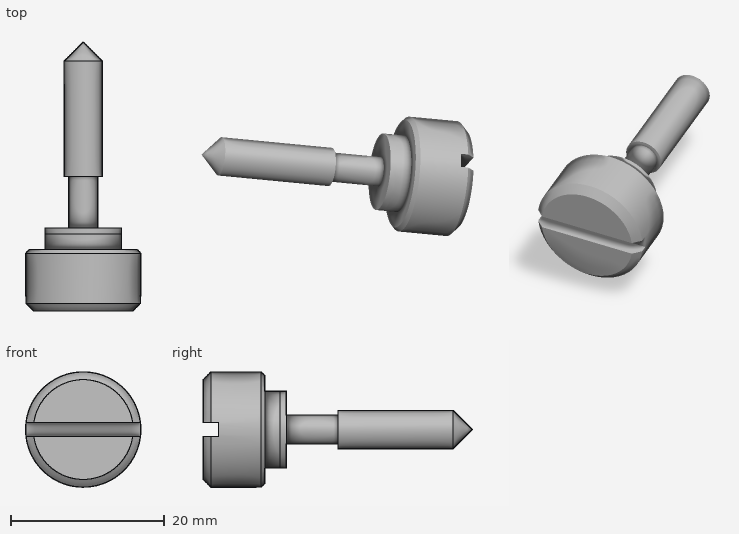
import cadquery as cq

total_length = 35.0
head_length = 8.0
collar_length = 2.0
washer_thickness = 0.8
shank_length = 15.0
point_length = 2.5

head_diameter = 15.0
collar_diameter = 10.0
shank_diameter = 5.0
neck_diameter = 3.8

front_chamfer = 1.0
back_chamfer = 0.5
slot_width = 1.8
slot_depth = 2.0

collar_end = head_length + collar_length
shank_start = total_length - point_length - shank_length
neck_length = shank_start - collar_end


def cylinder(diameter, start, length):
    """Cylinder about the Y axis, running from start toward +Y."""
    plane = cq.Workplane("XZ", origin=(0, start, 0))
    return plane.circle(diameter / 2).extrude(-length)


def make_head():
    """Chamfered head with a screwdriver slot across its front face."""
    head = cylinder(head_diameter, 0, head_length)
    head = head.faces("<Y").chamfer(front_chamfer)
    head = head.faces(">Y").chamfer(back_chamfer)
    slot = cq.Workplane("XY").box(
        head_diameter, slot_depth, slot_width, centered=(True, False, True)
    )
    return head.cut(slot)


def make_point():
    """Cone that closes the far end of the shank."""
    cone = cq.Solid.makeCone(
        shank_diameter / 2,
        0,
        point_length,
        pnt=cq.Vector(0, total_length - point_length, 0),
        dir=cq.Vector(0, 1, 0),
    )
    return cq.Workplane(obj=cone)


def make_screw():
    """Slotted head, collar, narrow neck and pointed shank in one solid."""
    screw = make_head()
    screw = screw.union(cylinder(collar_diameter, head_length, collar_length))
    screw = screw.union(cylinder(neck_diameter, collar_end, neck_length))
    screw = screw.union(cylinder(shank_diameter, shank_start, shank_length))
    return screw.union(make_point())


def make_washer():
    """Flat ring around the neck, seated against the collar."""
    ring = cylinder(collar_diameter, collar_end, washer_thickness)
    return ring.cut(cylinder(neck_diameter, collar_end, washer_thickness))


screw = make_screw()
washer = make_washer()

result = cq.Compound.makeCompound([screw.val(), washer.val()])